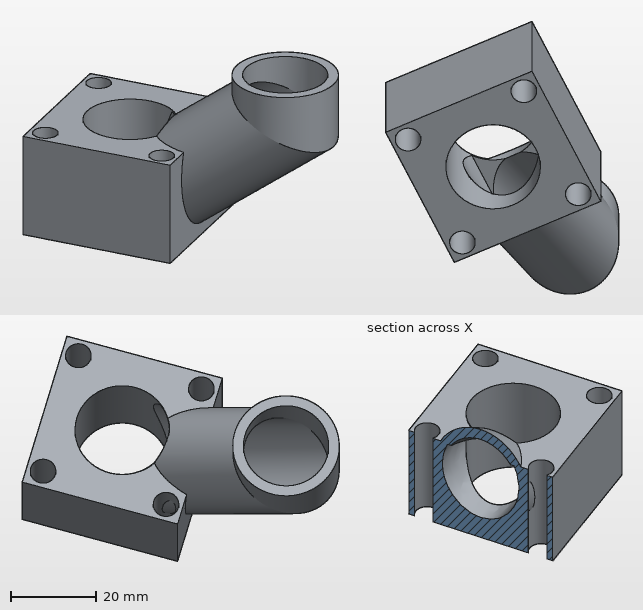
import cadquery as cq
import math

block_side = 38.0
block_height = 25.5
main_bore_diameter = 22.2
bolt_hole_diameter = 6.0
bolt_spacing = 30.0

overall_length = 71.5
overall_height = 45.0
pipe_outer_diameter = 25.0
pipe_inner_diameter = 20.0
pipe_slope = 37.5
miter_height = 34.95

tunnel_roof_z = 25.0

block_center_x = block_side / 2
outlet_x = overall_length - pipe_outer_diameter / 2
run_x = outlet_x - block_center_x
slope_angle = math.radians(pipe_slope)
run_start_z = miter_height - run_x * math.tan(slope_angle)
tunnel_length = block_side / 2
tunnel_center_z = run_start_z + tunnel_length * math.tan(slope_angle)


def pipe_path():
    """Pipe centreline, from the main bore axis to the outlet."""
    return (
        cq.Workplane("XZ")
        .moveTo(block_center_x, run_start_z)
        .lineTo(outlet_x, miter_height)
        .lineTo(outlet_x, overall_height)
    )


def mitred_cylinder(diameter):
    """Round bar along the pipe centreline, with a sharp mitred bend."""
    start_plane = cq.Plane(
        origin=(block_center_x, 0, run_start_z),
        xDir=(0, 1, 0),
        normal=(math.cos(slope_angle), 0, math.sin(slope_angle)),
    )
    profile = cq.Workplane(start_plane).circle(diameter / 2)
    return profile.sweep(pipe_path(), transition="right")


below_base = (
    cq.Workplane("XY")
    .rect(2 * overall_length, 2 * overall_length)
    .extrude(-overall_length)
)


def block_slab(height):
    """Square slab with the block's footprint, standing on Z = 0."""
    return (
        cq.Workplane("XY")
        .center(block_center_x, 0)
        .rect(block_side, block_side)
        .extrude(height)
    )


def pipe_bore():
    """Inside of the pipe; within the block it does not dip below the tunnel axis."""
    bore = mitred_cylinder(pipe_inner_diameter)
    return bore.cut(below_base).cut(block_slab(tunnel_center_z))


def tunnel():
    """Level passage from the main bore to the block side, matching the pipe bore's section there."""
    half_width = pipe_inner_diameter / 2
    half_height = half_width / math.cos(slope_angle)
    passage = (
        cq.Workplane("YZ", origin=(block_center_x, 0, tunnel_center_z))
        .ellipse(half_width, half_height)
        .extrude(tunnel_length)
    )
    return passage.intersect(block_slab(tunnel_roof_z))


block = block_slab(block_height)

main_bore = (
    cq.Workplane("XY")
    .center(block_center_x, 0)
    .circle(main_bore_diameter / 2)
    .extrude(overall_height)
)

bolt_holes = (
    cq.Workplane("XY")
    .center(block_center_x, 0)
    .rect(bolt_spacing, bolt_spacing, forConstruction=True)
    .vertices()
    .circle(bolt_hole_diameter / 2)
    .extrude(block_height)
)

result = (
    block.cut(bolt_holes)
    .union(mitred_cylinder(pipe_outer_diameter).cut(below_base))
    .cut(pipe_bore())
    .cut(tunnel())
    .cut(main_bore)
)